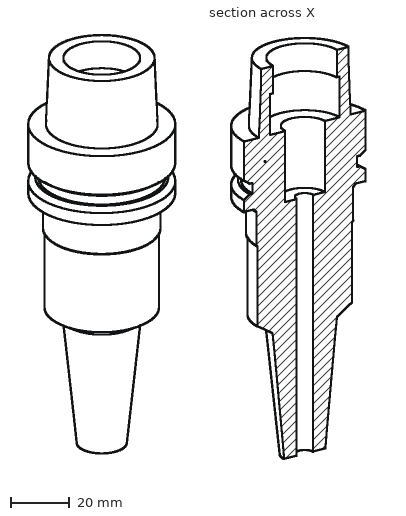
import cadquery as cq

length = 145.0

shank_length = 25.0
shank_top_radius = 18.0
shank_base_radius = 19.0

flange_diameter = 50.0
flange_radius = flange_diameter / 2
flange_length = 26.0
groove_radius = 21.6
groove_offset = 14.5
groove_width = 7.0
groove_flank = 1.6
groove_ledge_radius = 22.6

collar_radius = 20.0
collar_length = 13.8
collar_flare = 0.9
collar_flare_height = 1.0
collar_step = 0.51
body_radius = collar_radius - collar_step
body_length = 29.3
shoulder_length = 3.9

nose_top_radius = 13.3
nose_tip_radius = 8.5

mouth_radius = 13.0
mouth_depth = 10.2
recess_radius = 14.2
recess_depth = shank_length
counterbore_radius = 8.1
counterbore_depth = shank_length + flange_length
through_radius = 3.3

flange_top = length - shank_length
flange_bottom = flange_top - flange_length
groove_top = flange_top - groove_offset
groove_bottom = groove_top - groove_width
collar_bottom = flange_bottom - collar_length
body_bottom = collar_bottom - body_length
nose_top = body_bottom - shoulder_length


def make_outside():
    """Revolve the outer outline, including the gripper groove."""
    outline = [
        (0, length),
        (shank_top_radius, length),
        (shank_base_radius, flange_top),
        (flange_radius, flange_top),
        (flange_radius, groove_top),
        (groove_ledge_radius, groove_top - groove_flank),
        (groove_radius, groove_top - groove_flank),
        (groove_radius, groove_bottom + groove_flank),
        (groove_ledge_radius, groove_bottom + groove_flank),
        (flange_radius, groove_bottom),
        (flange_radius, flange_bottom),
        (collar_radius + collar_flare, flange_bottom),
        (collar_radius, flange_bottom - collar_flare_height),
        (collar_radius, collar_bottom + collar_step),
        (body_radius, collar_bottom),
        (body_radius, body_bottom),
        (nose_top_radius, nose_top),
        (nose_tip_radius, 0),
        (0, 0),
    ]
    return cq.Workplane("XZ").polyline(outline).close().revolve(360, (0, 0), (0, 1))


def make_bore():
    """Revolve the stepped bore that runs through the whole part."""
    outline = [
        (0, length),
        (mouth_radius, length),
        (mouth_radius, length - mouth_depth),
        (recess_radius, length - mouth_depth),
        (recess_radius, length - recess_depth),
        (counterbore_radius, length - recess_depth),
        (counterbore_radius, length - counterbore_depth),
        (through_radius, length - counterbore_depth),
        (through_radius, 0),
        (0, 0),
    ]
    return cq.Workplane("XZ").polyline(outline).close().revolve(360, (0, 0), (0, 1))


result = make_outside().cut(make_bore())